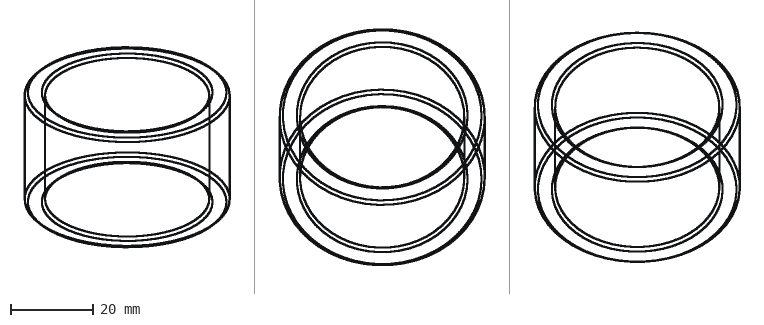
import cadquery as cq

outer_diameter = 50.0
bore_diameter = 40.0
length = 30.0
chamfer_size = 0.8


def make_sleeve():
    """Ring standing on the XY plane with its axis along Z."""
    return (
        cq.Workplane("XY")
        .circle(outer_diameter / 2)
        .circle(bore_diameter / 2)
        .extrude(length)
    )


def chamfer_rims(sleeve):
    """Break the inner and outer edges of both end faces."""
    return sleeve.faces("<Z or >Z").edges().chamfer(chamfer_size)


result = chamfer_rims(make_sleeve())